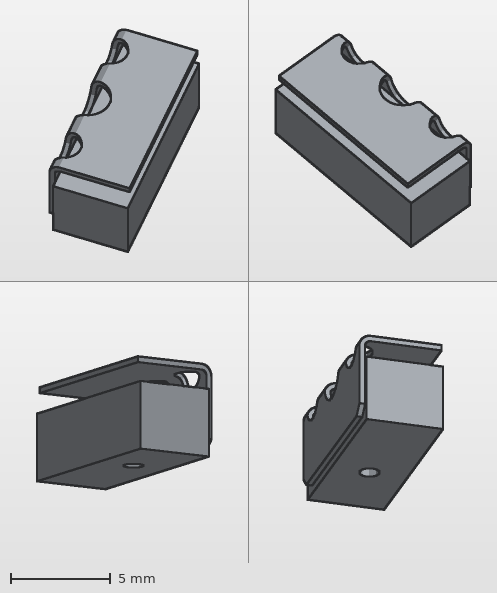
import cadquery as cq
import math

block_length = 10.0
block_depth = 4.0
block_height = 3.45
block_hole_diameter = 1.0
block_hole_y = 1.0

sheet = 0.3
cover_length = 9.5
bend_inner_radius = 0.3
top_gap = 1.0
corner_chamfer = 0.5
small_opening_diameter = 1.73
large_opening_diameter = 2.33
small_opening_y = 3.25

cover_width = sheet + block_depth
cover_top = block_height + top_gap + sheet
cover_bottom = cover_top - cover_width
bend_outer_radius = bend_inner_radius + sheet
bend_middle_radius = bend_inner_radius + sheet / 2
bend_x = bend_outer_radius
bend_z = cover_top - bend_outer_radius
half_bend_length = bend_middle_radius * math.pi / 4

cutter_margin = 0.1
bend_sections = 9


def make_block():
    body = cq.Workplane("XY").box(block_depth, block_length, block_height, centered=(False, True, False))
    hole = (
        cq.Workplane("XY")
        .center(block_depth / 2, block_hole_y)
        .circle(block_hole_diameter / 2)
        .extrude(block_height)
    )
    return body.cut(hole).translate((sheet, 0, 0))


def make_bent_sheet():
    diagonal = math.sqrt(0.5)
    profile = (
        cq.Workplane("XZ")
        .moveTo(0, cover_bottom)
        .lineTo(0, bend_z)
        .threePointArc(
            (bend_x - bend_outer_radius * diagonal, bend_z + bend_outer_radius * diagonal),
            (bend_x, cover_top),
        )
        .lineTo(cover_width, cover_top)
        .lineTo(cover_width, cover_top - sheet)
        .lineTo(bend_x, cover_top - sheet)
        .threePointArc(
            (bend_x - bend_inner_radius * diagonal, bend_z + bend_inner_radius * diagonal),
            (sheet, bend_z),
        )
        .lineTo(sheet, cover_bottom)
        .close()
    )
    body = profile.extrude(cover_length / 2, both=True)
    lower_corners = cq.selectors.BoxSelector(
        (-cutter_margin, -cover_length, cover_bottom - cutter_margin),
        (sheet + cutter_margin, cover_length, cover_bottom + cutter_margin),
    )
    return body.edges("|X").edges(lower_corners).chamfer(corner_chamfer)


def flat_opening(radius):
    """Part of a round opening that lies beyond the bend, in the level leaf of the cover."""
    disc = (
        cq.Workplane("XY", origin=(bend_x - half_bend_length, 0, bend_z + bend_inner_radius - cutter_margin))
        .circle(radius)
        .extrude(sheet + 2 * cutter_margin)
    )
    beyond_bend = cq.Workplane("XY").box(
        cover_width, block_length, 2 * cover_top, centered=(False, True, False)
    )
    return disc.intersect(beyond_bend.translate((bend_x, 0, 0)))


def bend_opening(radius):
    """Part of a round opening that is wrapped round the bend, with its wall square to the sheet."""
    inner = bend_inner_radius - cutter_margin
    outer = bend_outer_radius + cutter_margin
    wires = []
    for i in range(bend_sections):
        angle = math.pi / 2 * i / (bend_sections - 1)
        from_middle = bend_middle_radius * (angle - math.pi / 4)
        half_width = math.sqrt(radius**2 - from_middle**2)
        corners = [
            cq.Vector(bend_x - reach * math.cos(angle), side * half_width, bend_z + reach * math.sin(angle))
            for reach, side in ((inner, -1), (outer, -1), (outer, 1), (inner, 1))
        ]
        wires.append(cq.Wire.makePolygon(corners, close=True))
    return cq.Workplane(cq.Solid.makeLoft(wires))


def cut_opening(cover, diameter, y):
    """Cut an opening that is a circle in the unfolded sheet, centred on the middle of the bend."""
    radius = diameter / 2
    level = flat_opening(radius)
    upright = level.rotate((bend_x, 0, bend_z), (bend_x - 0.1, 0, bend_z + 0.1), 180)
    for cutter in (level, bend_opening(radius), upright):
        cover = cover.cut(cutter.translate((0, y, 0)))
    return cover


def make_cover():
    cover = make_bent_sheet()
    cover = cut_opening(cover, large_opening_diameter, 0)
    for y in (-small_opening_y, small_opening_y):
        cover = cut_opening(cover, small_opening_diameter, y)
    return cover


block = make_block()
cover = make_cover()
result = cq.Compound.makeCompound([block.val(), cover.val()])